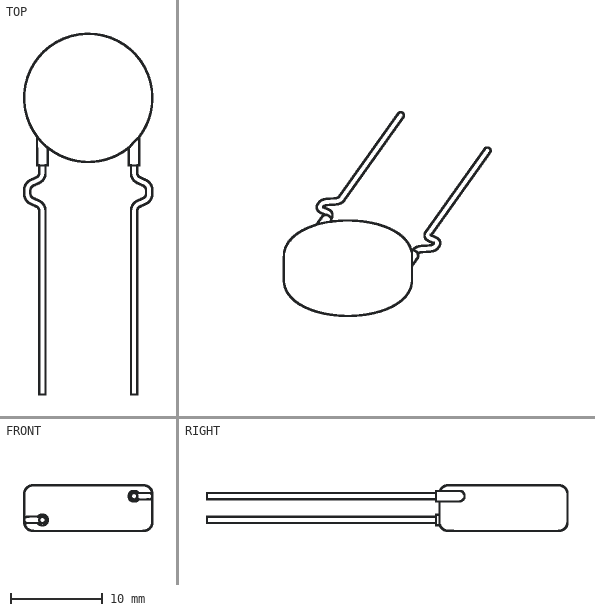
import cadquery as cq
import math


DISC_DIAMETER = 14.0
DISC_THICKNESS = 5.0
DISC_ROUND = 1.0
DISC_RADIUS = DISC_DIAMETER / 2

LEAD_PITCH = 10.0
LEAD_HEIGHT = 1.3
LEAD_X = LEAD_PITCH / 2
LEAD_TURNS = (0, 180)

SLEEVE_DIAMETER = 1.2
SLEEVE_END = 7.35

OVERALL_LENGTH = 39.38
WIRE_DIAMETER = 0.7
LEAD_END = OVERALL_LENGTH - DISC_RADIUS

KINK_START = 8.2
KINK_CREST = 0.4
BEND_RADIUS = 0.85
BEND_ANGLE = math.radians(65)
KINK_OFFSET = DISC_RADIUS - WIRE_DIAMETER / 2 - LEAD_X


def lead_circle(diameter):
    """Circle on the left lead's line, in the XZ plane through the disc's centre."""
    return cq.Workplane("XZ").center(-LEAD_X, -LEAD_HEIGHT).circle(diameter / 2)


def about_y(shape, angle):
    """Turn a left-lead shape about the Y axis; half a turn gives the right-lead shape."""
    return shape.rotate((0, 0, 0), (0, 1, 0), angle)


def lead_path():
    """Centreline of the left lead: straight, out-and-back kink, straight."""
    sin_bend = math.sin(BEND_ANGLE)
    cos_bend = math.cos(BEND_ANGLE)
    half_angle = BEND_ANGLE / 2

    bend_out = BEND_RADIUS * (1 - cos_bend)
    bend_down = BEND_RADIUS * sin_bend
    middle_out = BEND_RADIUS * (1 - math.cos(half_angle))
    middle_down = BEND_RADIUS * math.sin(half_angle)

    slope_length = (KINK_OFFSET - 2 * bend_out) / sin_bend
    step_down = 2 * bend_down + slope_length * cos_bend
    kink_length = 2 * step_down + KINK_CREST

    def point(out, down):
        return (-LEAD_X - out, -KINK_START - down)

    return (
        cq.Workplane("XY", origin=(0, 0, -LEAD_HEIGHT))
        .moveTo(-LEAD_X, 0)
        .lineTo(*point(0, 0))
        .threePointArc(point(middle_out, middle_down), point(bend_out, bend_down))
        .lineTo(*point(KINK_OFFSET - bend_out, step_down - bend_down))
        .threePointArc(
            point(KINK_OFFSET - middle_out, step_down - middle_down),
            point(KINK_OFFSET, step_down),
        )
        .lineTo(*point(KINK_OFFSET, step_down + KINK_CREST))
        .threePointArc(
            point(KINK_OFFSET - middle_out, kink_length - step_down + middle_down),
            point(KINK_OFFSET - bend_out, kink_length - step_down + bend_down),
        )
        .lineTo(*point(bend_out, kink_length - bend_down))
        .threePointArc(
            point(middle_out, kink_length - middle_down),
            point(0, kink_length),
        )
        .lineTo(-LEAD_X, -LEAD_END)
    )


def make_lead():
    """Left wire lead, embedded in the coating as far as the plane through the disc's centre."""
    return lead_circle(WIRE_DIAMETER).sweep(lead_path())


def make_coating():
    """Rounded disc with a sleeve and a bore for each lead."""
    coating = (
        cq.Workplane("XY", origin=(0, 0, -DISC_THICKNESS / 2))
        .circle(DISC_RADIUS)
        .extrude(DISC_THICKNESS)
        .edges("%CIRCLE")
        .fillet(DISC_ROUND)
    )
    sleeve = lead_circle(SLEEVE_DIAMETER).extrude(SLEEVE_END)
    bore = lead_circle(WIRE_DIAMETER).extrude(SLEEVE_END)
    for turn in LEAD_TURNS:
        coating = coating.union(about_y(sleeve, turn)).cut(about_y(bore, turn))
    return coating


coating = make_coating()
leads = [about_y(make_lead(), turn) for turn in LEAD_TURNS]

result = cq.Compound.makeCompound([coating.solids().val(), *[lead.val() for lead in leads]])